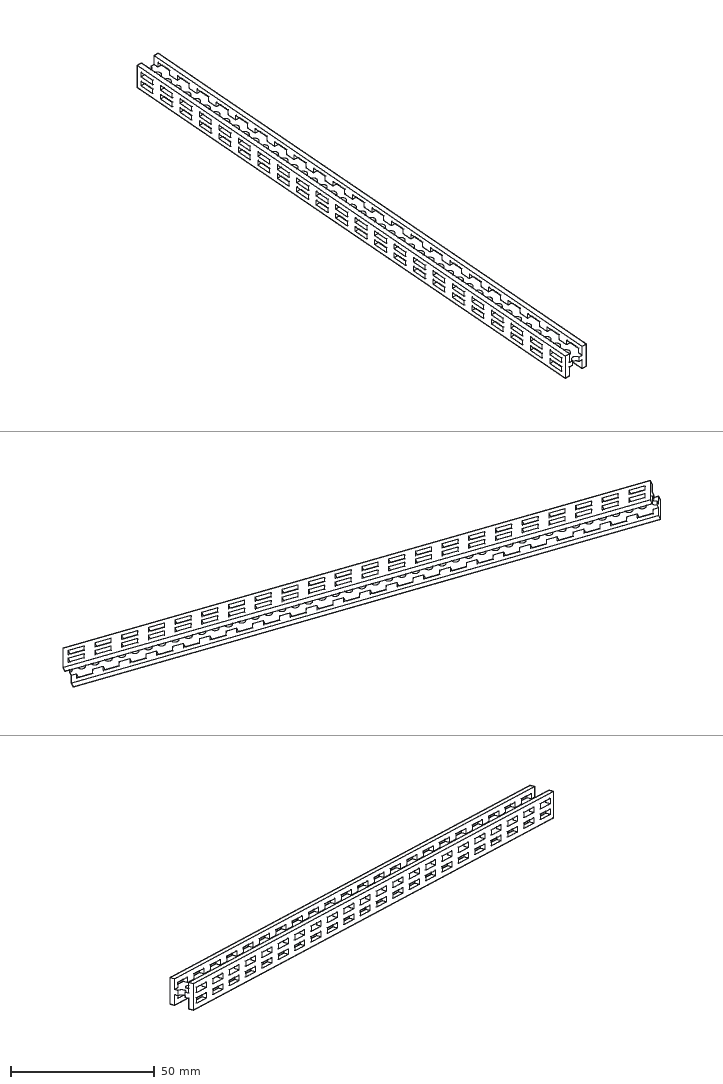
import cadquery as cq

length = 220.0
section = 10.0
wall = 2.0

slot_length = 6.0
slot_height = 2.0
slot_pitch = 10.0
slot_count = round(length / slot_pitch)
slot_row_offset = (wall + slot_height) / 2

hole_diameter = 3.0
hole_pitch = slot_pitch / 2
hole_count = round(length / hole_pitch) + 1


def make_beam():
    """Two upright flanges joined by a web at mid-height."""
    flange_offset = (section - wall) / 2
    beam = cq.Workplane("XY").box(length, section - wall, wall)
    for side in (-1, 1):
        flange = cq.Workplane("XY").box(length, wall, section)
        beam = beam.union(flange.translate((0, side * flange_offset, 0)))
    return beam


def make_flange_slots():
    """Rectangular cutters passing through both flanges along Y."""
    return (
        cq.Workplane("XZ")
        .rarray(slot_pitch, 2 * slot_row_offset, slot_count, 2)
        .rect(slot_length, slot_height)
        .extrude(section, both=True)
    )


def make_web_holes():
    """Round cutters passing through the web along Z."""
    return (
        cq.Workplane("XY")
        .rarray(hole_pitch, hole_pitch, hole_count, 1)
        .circle(hole_diameter / 2)
        .extrude(wall, both=True)
    )


result = make_beam().cut(make_flange_slots()).cut(make_web_holes())